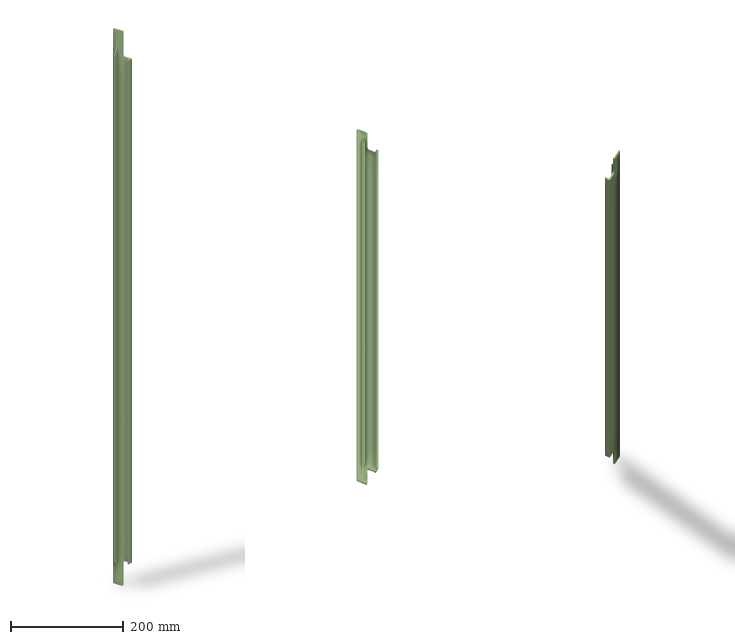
import cadquery as cq
import math

LENGTH = 1095.0
WIDTH = 38.0
DEPTH = 13.0

PLATE_THICKNESS = 3.0
END_WIDTH = 20.0
END_CORNER_RADIUS = 1.0
NOTCH_LENGTH = 50.0
NOTCH_RADIUS = 5.0

RIB_CENTRE = 8.5
RIB_THICKNESS = 2.0
RIB_END_GAP = 23.0
RIB_RUNOUT = 24.0

RIB_STEP = 0.5
SHOULDER_HEIGHT = 2.0
SHOULDER_LENGTH = 3.5

LIP_THICKNESS = 3.0
LIP_DEPTH = 10.0
LIP_ROOT_RADIUS = 2.0

LEFT = -WIDTH / 2
RIGHT = WIDTH / 2
FRONT = -DEPTH / 2
BACK = DEPTH / 2
PLATE_FRONT = BACK - PLATE_THICKNESS
HALF_LENGTH = LENGTH / 2
HALF_WIDE_LENGTH = HALF_LENGTH - NOTCH_LENGTH


def make_plate():
    """Strip with narrow ends, rounded end corners and filleted notches."""
    notch_x = LEFT + END_WIDTH
    outline = (
        cq.Workplane("XZ", origin=(0, BACK, 0))
        .moveTo(LEFT, -HALF_LENGTH)
        .lineTo(notch_x, -HALF_LENGTH)
        .lineTo(notch_x, -HALF_WIDE_LENGTH)
        .lineTo(RIGHT, -HALF_WIDE_LENGTH)
        .lineTo(RIGHT, HALF_WIDE_LENGTH)
        .lineTo(notch_x, HALF_WIDE_LENGTH)
        .lineTo(notch_x, HALF_LENGTH)
        .lineTo(LEFT, HALF_LENGTH)
        .close()
    )
    plate = outline.extrude(PLATE_THICKNESS)
    plate = plate.edges("|Y and (>Z or <Z)").fillet(END_CORNER_RADIUS)
    for notch_z in (-HALF_WIDE_LENGTH, HALF_WIDE_LENGTH):
        corner = cq.selectors.NearestToPointSelector((notch_x, BACK - PLATE_THICKNESS / 2, notch_z))
        plate = plate.edges("|Y").edges(corner).fillet(NOTCH_RADIUS)
    return plate


def make_rib_side():
    """Block bounded by the side outline of the rib, wider than the rib."""
    root_end = HALF_LENGTH - RIB_END_GAP
    crest_end = root_end - RIB_RUNOUT
    rise = PLATE_FRONT - FRONT

    radius = (RIB_RUNOUT**2 + rise**2) / (2 * rise)
    half_angle = math.asin(RIB_RUNOUT / radius) / 2
    mid_z = root_end - radius * math.sin(half_angle)
    mid_y = PLATE_FRONT - radius * (1 - math.cos(half_angle))

    outline = (
        cq.Workplane("YZ", origin=(LEFT + RIB_CENTRE, 0, 0))
        .moveTo(BACK, -root_end)
        .lineTo(PLATE_FRONT, -root_end)
        .threePointArc((mid_y, -mid_z), (FRONT, -crest_end))
        .lineTo(FRONT, crest_end)
        .threePointArc((mid_y, mid_z), (PLATE_FRONT, root_end))
        .lineTo(BACK, root_end)
        .close()
    )
    return outline.extrude(RIB_THICKNESS, both=True)


def make_rib():
    """Rib section with its shoulder, trimmed to the side outline."""
    rib_left = LEFT + RIB_CENTRE - RIB_THICKNESS / 2
    rib_right = rib_left + RIB_THICKNESS
    shoulder_start = PLATE_FRONT - SHOULDER_HEIGHT
    section = [
        (rib_left, BACK),
        (rib_left, shoulder_start),
        (rib_left + RIB_STEP, shoulder_start - SHOULDER_LENGTH),
        (rib_left + RIB_STEP, FRONT),
        (rib_right, FRONT),
        (rib_right, BACK),
    ]
    rib = cq.Workplane("XY").polyline(section).close().extrude(HALF_LENGTH, both=True)
    return rib.intersect(make_rib_side())


def make_lip():
    """Lip with a concave root fillet against the strip."""
    lip_left = RIGHT - LIP_THICKNESS
    lip_front = BACK - LIP_DEPTH
    arc_offset = LIP_ROOT_RADIUS * (1 - math.sqrt(0.5))
    section = (
        cq.Workplane("XY")
        .moveTo(RIGHT, BACK)
        .lineTo(RIGHT, lip_front)
        .lineTo(lip_left, lip_front)
        .lineTo(lip_left, PLATE_FRONT - LIP_ROOT_RADIUS)
        .threePointArc(
            (lip_left - arc_offset, PLATE_FRONT - arc_offset),
            (lip_left - LIP_ROOT_RADIUS, PLATE_FRONT),
        )
        .lineTo(lip_left - LIP_ROOT_RADIUS, BACK)
        .close()
    )
    return section.extrude(HALF_WIDE_LENGTH, both=True)


result = make_plate().union(make_rib()).union(make_lip())